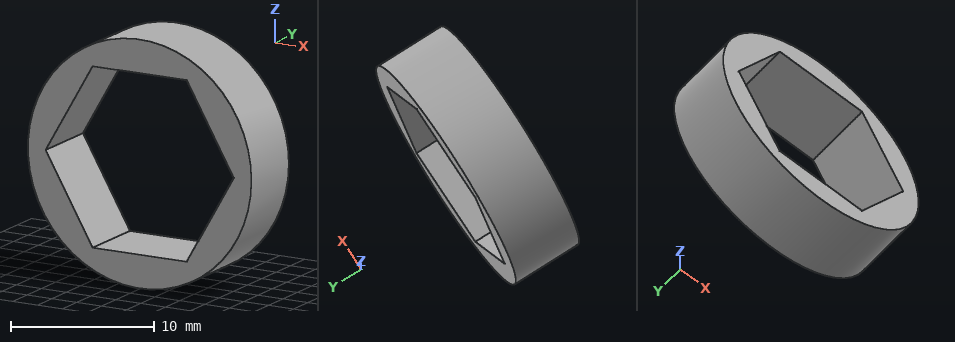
import cadquery as cq
import math

outer_diameter = 18.0
ring_width = 5.25
hex_across_flats = 13.1
hex_across_corners = hex_across_flats / math.cos(math.pi / 6)

result = (
    cq.Workplane("XZ", origin=(0, ring_width / 2, 0))
    .circle(outer_diameter / 2)
    .polygon(6, hex_across_corners)
    .extrude(ring_width)
)